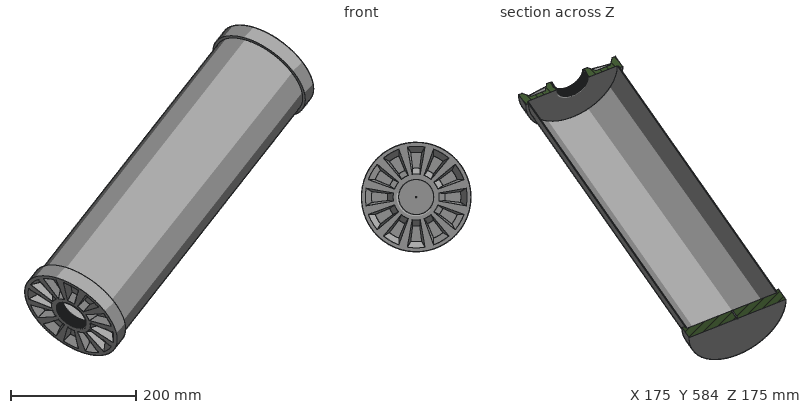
import cadquery as cq
import math

total_length = 584.0
cap_diameter = 175.0
cap_thickness = 25.0
tube_outer_diameter = 165.5
tube_inner_diameter = 160.5

port_minor_diameter = 56.0
port_major_diameter = 62.0
thread_pitch = 2.2
thread_crest_width = 0.9
thread_ridge_count = 9

centre_hole_diameter = 2.0

pocket_count = 12
pocket_depth = 12.0
mouth_inner_radius = 37.0
mouth_outer_radius = 81.0
mouth_half_angle = 10.0
floor_inner_radius = 46.0
floor_outer_radius = 71.0
floor_half_angle = 7.0

front_y = -total_length / 2
web_thickness = thread_ridge_count * thread_pitch
socket_depth = cap_thickness - web_thickness
tube_length = total_length - 2 * web_thickness
tube_front_y = front_y + web_thickness
tube_back_y = tube_front_y + tube_length


def plane_facing_back(y):
    """XZ sketch plane at the given Y; extrusions from it run toward +Y."""
    return cq.Plane(origin=(0, y, 0), xDir=(1, 0, 0), normal=(0, 1, 0))


def disc(diameter, y, length):
    return cq.Workplane(plane_facing_back(y)).circle(diameter / 2).extrude(length)


def sector_wire(y, inner_radius, outer_radius, half_angle):
    """Annular sector around the +X direction, in the plane at the given Y."""

    def point(radius, angle):
        turn = math.radians(angle)
        return (radius * math.cos(turn), radius * math.sin(turn))

    return (
        cq.Workplane(plane_facing_back(y))
        .moveTo(*point(inner_radius, -half_angle))
        .lineTo(*point(outer_radius, -half_angle))
        .threePointArc((outer_radius, 0), point(outer_radius, half_angle))
        .lineTo(*point(inner_radius, half_angle))
        .threePointArc((inner_radius, 0), point(inner_radius, -half_angle))
        .close()
        .val()
    )


def pocket_cutter(index):
    mouth = sector_wire(front_y, mouth_inner_radius, mouth_outer_radius, mouth_half_angle)
    floor = sector_wire(front_y + pocket_depth, floor_inner_radius, floor_outer_radius, floor_half_angle)
    pocket = cq.Solid.makeLoft([mouth, floor], True)
    return pocket.rotate(cq.Vector(0, 0, 0), cq.Vector(0, 1, 0), index * 360 / pocket_count)


def port_cutter():
    """Bore whose wall is a row of thread ridges with flat crests and sloped flanks."""
    minor_radius = port_minor_diameter / 2
    major_radius = port_major_diameter / 2
    flank_width = (thread_pitch - thread_crest_width) / 2
    profile = cq.Workplane("XY").moveTo(0, front_y).lineTo(major_radius, front_y)
    for ridge in range(thread_ridge_count):
        start_y = front_y + ridge * thread_pitch
        profile = profile.lineTo(minor_radius, start_y + flank_width)
        profile = profile.lineTo(minor_radius, start_y + flank_width + thread_crest_width)
        profile = profile.lineTo(major_radius, start_y + thread_pitch)
    return profile.lineTo(0, tube_front_y).close().revolve(360, (0, 0), (0, 1))


def socket_cutter(start_y):
    return disc(tube_outer_diameter, start_y, socket_depth)


def make_tube():
    bore = disc(tube_inner_diameter, tube_front_y, tube_length)
    return disc(tube_outer_diameter, tube_front_y, tube_length).cut(bore)


def make_front_cap():
    cap = disc(cap_diameter, front_y, cap_thickness)
    cap = cap.cut(socket_cutter(tube_front_y)).cut(port_cutter())
    for index in range(pocket_count):
        cap = cap.cut(cq.Workplane(pocket_cutter(index)))
    return cap


def make_back_cap():
    rim_y = tube_back_y - socket_depth
    centre_hole = disc(centre_hole_diameter, rim_y, cap_thickness)
    return disc(cap_diameter, rim_y, cap_thickness).cut(socket_cutter(rim_y)).cut(centre_hole)


tube = make_tube()
front_cap = make_front_cap()
back_cap = make_back_cap()

result = cq.Compound.makeCompound([tube.val(), front_cap.val(), back_cap.val()])